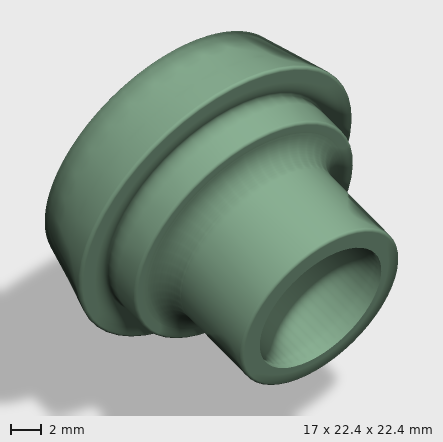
import cadquery as cq
import math

total_length = 17.0
head_length = 6.09
collar_end = 9.02

head_radius = 11.2
collar_radius = 9.0
spigot_radius = 6.5

head_taper_angle = 15.0
front_slope_angle = 5.5
flat_ring_radius = 5.5

bore_radius = 5.0

edge_fillet = 0.2
root_fillet = 0.13
neck_fillet = 1.63

selection_margin = 0.002

taper_slope = math.tan(math.radians(head_taper_angle))
front_slope = math.tan(math.radians(front_slope_angle))
rear_corner_angle = math.radians(90 - head_taper_angle)
sharp_head_radius = head_radius - edge_fillet + edge_fillet / math.tan(rear_corner_angle / 2)

head_front_radius = (
    sharp_head_radius - taper_slope * (head_length + front_slope * flat_ring_radius)
) / (1 - taper_slope * front_slope)
head_front_x = front_slope * (head_front_radius - flat_ring_radius)


def revolved_body():
    """Sharp-edged body of revolution about the X axis, with the through bore."""
    profile = (
        cq.Workplane("XZ")
        .moveTo(0, bore_radius)
        .lineTo(0, flat_ring_radius)
        .lineTo(head_front_x, head_front_radius)
        .lineTo(head_length, sharp_head_radius)
        .lineTo(head_length, collar_radius)
        .lineTo(collar_end, collar_radius)
        .lineTo(collar_end, spigot_radius)
        .lineTo(total_length, spigot_radius)
        .lineTo(total_length, bore_radius)
        .close()
    )
    return profile.revolve(360, (0, 0, 0), (1, 0, 0))


def edges_within(x, reach):
    """Selector for edges at axial position x that lie no further than reach from the axis."""
    return cq.selectors.BoxSelector(
        (x - selection_margin, -reach, -reach),
        (x + selection_margin, reach, reach),
        boundingbox=True,
    )


def round_edge(body, x, radius, fillet):
    """Fillet the circular edge of the given radius at axial position x."""
    up_to_circle = edges_within(x, radius + selection_margin)
    inside_circle = edges_within(x, radius - selection_margin)
    return body.edges(up_to_circle - inside_circle).fillet(fillet)


rounded_edges = [
    (0, bore_radius, edge_fillet),
    (head_front_x, head_front_radius, edge_fillet),
    (head_length, sharp_head_radius, edge_fillet),
    (head_length, collar_radius, root_fillet),
    (collar_end, collar_radius, edge_fillet),
    (collar_end, spigot_radius, neck_fillet),
    (total_length, spigot_radius, edge_fillet),
]

result = revolved_body()
for edge_x, edge_radius, fillet_radius in rounded_edges:
    result = round_edge(result, edge_x, edge_radius, fillet_radius)